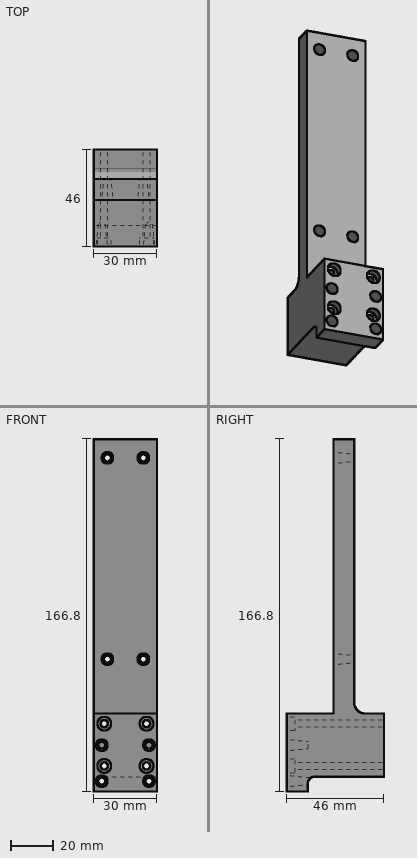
import cadquery as cq

width = 30.0
depth = 46.0
height = 166.8

lip_depth = 10.0
lip_height = 7.0
block_top = 37.0
plate_front = 22.0
plate_thickness = 10.0
plate_back = plate_front + plate_thickness
plate_fillet = 5.0
lip_fillet = 3.0

bore_diameter = 3.3
counterbore_diameter = 6.5
counterbore_depth = 4.0
taper_mouth_diameter = 5.5
taper_depth = 10.0

plate_hole_x = 8.5
plate_hole_heights = (62.7, height - 8.8)
block_hole_x = 10.0
block_hole_heights = (12.2, 32.2)
lip_hole_x = 11.2
lip_hole_height = 5.0
blind_hole_height = 22.0


def make_body():
    """Extrude the stepped side profile across the full width."""
    return (
        cq.Workplane("YZ")
        .moveTo(0, 0)
        .lineTo(lip_depth, 0)
        .lineTo(lip_depth, lip_height - lip_fillet)
        .radiusArc((lip_depth + lip_fillet, lip_height), lip_fillet)
        .lineTo(depth, lip_height)
        .lineTo(depth, block_top)
        .lineTo(plate_back + plate_fillet, block_top)
        .radiusArc((plate_back, block_top + plate_fillet), plate_fillet)
        .lineTo(plate_back, height)
        .lineTo(plate_front, height)
        .lineTo(plate_front, block_top)
        .lineTo(0, block_top)
        .close()
        .extrude(width / 2, both=True)
    )


def hole_points(face_y, half_spacing, heights):
    """Place mirrored pairs of hole centres on a plane whose normal points to +Y."""
    plane = cq.Plane(origin=(0, face_y, 0), xDir=(-1, 0, 0), normal=(0, 1, 0))
    centres = [(side * half_spacing, z) for z in heights for side in (-1, 1)]
    return cq.Workplane(plane).pushPoints(centres)


def straight_holes(face_y, half_spacing, heights, diameter, length):
    return hole_points(face_y, half_spacing, heights).circle(diameter / 2).extrude(length)


def tapered_holes(face_y, half_spacing, heights):
    """Cones that narrow from the mouth to the bore diameter over the taper depth."""
    cone = cq.Solid.makeCone(
        taper_mouth_diameter / 2,
        bore_diameter / 2,
        taper_depth,
    )
    points = hole_points(face_y, half_spacing, heights)
    return points.eachpoint(cone, useLocalCoordinates=True)


result = make_body()

result = result.cut(tapered_holes(plate_front, plate_hole_x, plate_hole_heights))

result = result.cut(straight_holes(0, block_hole_x, block_hole_heights, bore_diameter, depth))
result = result.cut(
    straight_holes(0, block_hole_x, block_hole_heights, counterbore_diameter, counterbore_depth)
)

result = result.cut(tapered_holes(0, lip_hole_x, (blind_hole_height, lip_hole_height)))

result = result.cut(
    straight_holes(0, lip_hole_x, (lip_hole_height,), bore_diameter, lip_depth + lip_fillet)
)